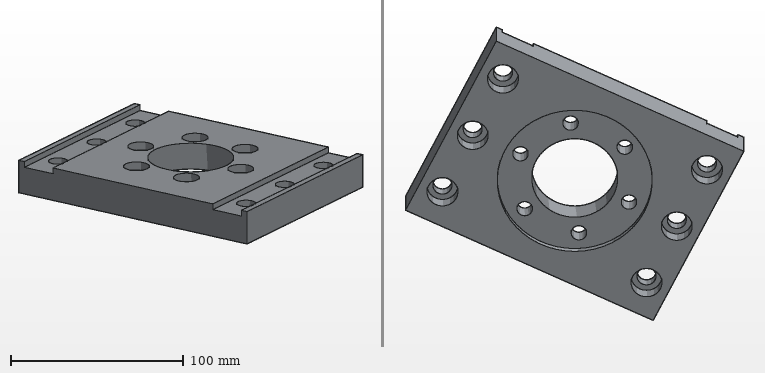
import cadquery as cq

length = 160.0
width = 120.0
thickness = 20.0

lip_width = 4.0
groove_width = 20.0
groove_depth = 3.5

bore_diameter = 50.0
recess_diameter = 90.0
recess_depth = 4.0
screw_count = 6
screw_circle_diameter = 70.0
screw_hole_diameter = 9.0
counterbore_diameter = 15.0
counterbore_depth = 5.0
mount_hole_diameter = 11.0
mount_counterbore_diameter = 18.0
mount_counterbore_depth = 9.1
mount_hole_pitch = 40.0
mount_hole_rows = 3
mount_hole_edge_distance = 14.0

groove_x = length / 2 - lip_width - groove_width / 2
mount_hole_x = length / 2 - mount_hole_edge_distance
groove_floor = thickness - groove_depth


def make_plate():
    """Flat plate centred on X and Y, with its underside at Z = 0."""
    return cq.Workplane("XY").box(length, width, thickness, centered=(True, True, False))


def cut_grooves(body):
    """Cut a full-width groove near each end of the top face."""
    grooves = (
        cq.Workplane("XY", origin=(0, 0, groove_floor))
        .pushPoints([(-groove_x, 0), (groove_x, 0)])
        .rect(groove_width, width)
        .extrude(groove_depth)
    )
    return body.cut(grooves)


def cut_bore(body):
    """Cut the central through bore and the wide round recess around it on the underside."""
    bore = cq.Workplane("XY").circle(bore_diameter / 2).extrude(thickness)
    recess = cq.Workplane("XY").circle(recess_diameter / 2).extrude(recess_depth)
    return body.cut(bore).cut(recess)


def cut_screw_holes(body):
    """Cut the ring of counterbored screw holes around the bore."""
    return (
        body.faces(">Z")
        .workplane(origin=(0, 0, thickness))
        .polarArray(screw_circle_diameter / 2, 0, 360, screw_count)
        .cboreHole(screw_hole_diameter, counterbore_diameter, counterbore_depth)
    )


def mount_hole_cylinders(diameter, height):
    """Upright cylinders at every mounting hole, standing on Z = 0."""
    return (
        cq.Workplane("XY")
        .rarray(2 * mount_hole_x, mount_hole_pitch, 2, mount_hole_rows)
        .circle(diameter / 2)
        .extrude(height)
    )


def cut_mount_holes(body):
    """Cut a row of holes in each groove floor, counterbored from the underside."""
    holes = mount_hole_cylinders(mount_hole_diameter, thickness)
    counterbores = mount_hole_cylinders(mount_counterbore_diameter, mount_counterbore_depth)
    return body.cut(holes).cut(counterbores)


result = make_plate()
result = cut_grooves(result)
result = cut_bore(result)
result = cut_screw_holes(result)
result = cut_mount_holes(result)